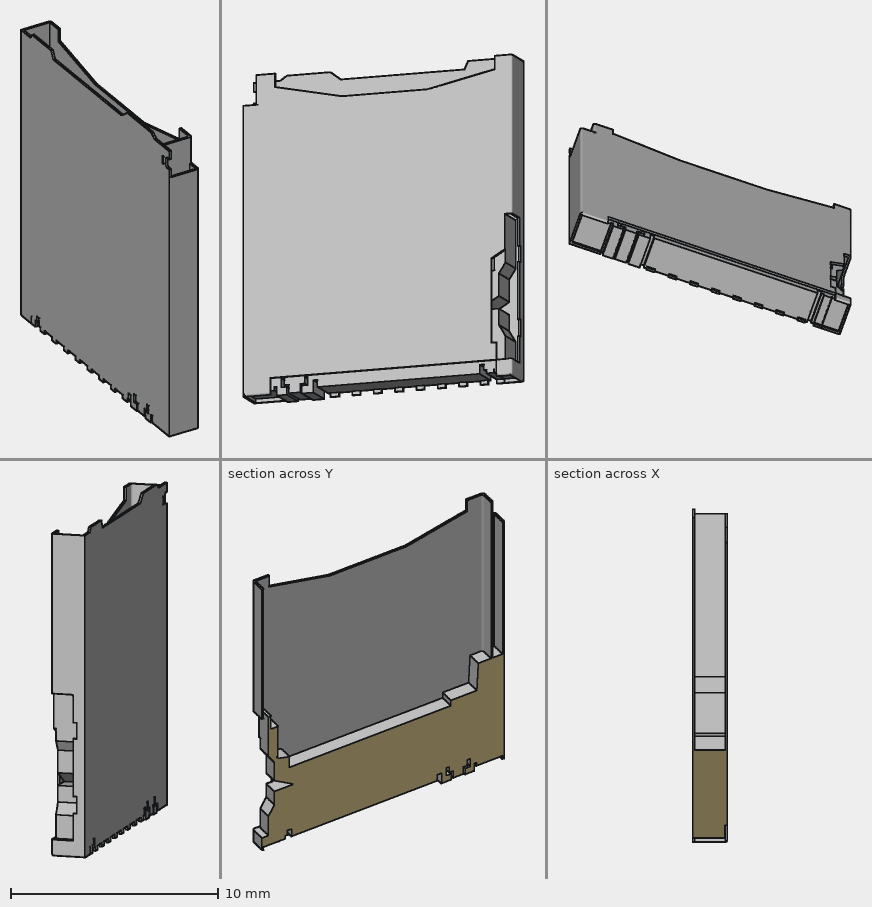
import cadquery as cq

WIDTH = 13.85
DEPTH = 1.68
HEIGHT = 16.15
SHEET = 0.11
BEND = 0.11
INNER_DEPTH = DEPTH - SHEET
CUT_Y = (-0.16, DEPTH + 0.16)
BELOW = -0.16

HEM_Z = 0.06
SHOULDER_Z = 15.92
DIP_Z = 15.75
LEFT_LOBE_FOOT_X = (0.89, 3.02)
LEFT_LOBE_TOP_X = (1.05, 2.83)
RIGHT_LOBE_FOOT_X = (9.38, 12.48)
RIGHT_LOBE_TOP_X = (9.92, 12.15)

EDGE_NOTCH_X = 13.52
EDGE_NOTCH_Z = (14.9, 15.47)
EDGE_NOTCH_RADIUS = 0.16
SLIT_X = (13.16, 13.3)
SLIT_Z = (14.95, 15.36)

GAP_COUNT = 7
GAP_PITCH = 1.1
GAP_WIDTH = 0.7
GAP_START_X = 2.2
GAP_TOP_Z = 0.26

LEFT_STEPS = (((1.35, 1.81), GAP_TOP_Z), ((1.35, 1.7), 0.44), ((1.49, 1.7), 0.71))
RIGHT_STEPS = (((9.92, 10.25), GAP_TOP_Z), ((10.05, 10.25), 0.61))
RELIEF_TOP_Z = 0.44
RELIEF_SLIT_X = (0.95, 0.97)

LATCH_X = 11.22
LATCH_LEFT_X = 10.25
LATCH_RIGHT_X = 12.15
LATCH_RELIEF_WIDTH = 0.11
TAB_X = 10.84
TAB_TOP_Z = 0.39
TONGUE_X = 10.93
TONGUE_STEP_Z = 0.48
HOOK_X = (10.55, 10.7)
HOOK_TOP_Z = 0.82

FOOT_LEFT_X = 0.8
FOOT_RIGHT_X = 12.44
CHANNEL_X = 13.08
CHANNEL_OUTER_X = CHANNEL_X + SHEET
RIGHT_WALL_Z = 14.45
MOUTH_Z = 14.54
MOUTH_SHOULDER_Z = 15.26
MOUTH_X = 0.89
MOUTH_FLAT_X = 4.35

WINDOW_BOTTOM_Z = 0.87
WINDOW_TOP_Z = 8.06
WINDOW_Y = 0.58
WINDOW_RADIUS = 0.08
NOTCH_Y = 0.4
NOTCHES_Z = ((2.21, 3.05), (5.9, 6.69))
BACK_EDGE_X = 1.07
BACK_EDGE_STEP_Z = 1.73
BACK_EDGE_SLOPE_Z = (5.9, 6.3)

FACE_X = 0.37
WAIST_X = 0.71
POCKET_X = 1.78
WAIST_TOP_Z = 5.15
WAIST_TOP_SLOPE_Z = 5.67
POCKET_TOP_Z = 4.04
POCKET_FLOOR_Z = 3.4
WAIST_BOTTOM_Z = 2.6
WAIST_BOTTOM_SLOPE_Z = 2.03

RAIL_LIP_X = 0.53
RAIL_STEP_X = 0.94
RAIL_STEP_Z = 7.27
RAMP_Z = (5.17, 5.33)
FLOOR_X = (1.58, 10.79)
FLOOR_Z = 4.52
RIGHT_LEDGE_Z = 4.85
RIGHT_RAIL_FOOT_X = 12.27
RIGHT_RAIL_TOP_X = 12.35
RIGHT_RAIL_Z = 6.46


def block(x_range, y_range, z_range):
    """Axis-aligned box given by its limits."""
    size = [high - low for low, high in (x_range, y_range, z_range)]
    corner = (x_range[0], y_range[0], z_range[0])
    return cq.Workplane("XY").box(*size, centered=False).translate(corner)


def plate(points, y_range):
    """Prism over an XZ outline, filling the given Y range."""
    y_low, y_high = y_range
    return cq.Workplane("XZ", origin=(0, y_low, 0)).polyline(points).close().extrude(y_low - y_high)


def bottom_cut(x_range, top_z):
    """Cutter that opens the bottom edge up to the given height."""
    return block(x_range, CUT_Y, (BELOW, top_z))


def latch_openings():
    """Two mirrored L-shaped slots, and the trim that ends the tongue level with the hem."""
    points = [
        (TAB_X, BELOW), (TONGUE_X, BELOW), (TONGUE_X, TONGUE_STEP_Z), (HOOK_X[1], TONGUE_STEP_Z),
        (HOOK_X[1], HOOK_TOP_Z), (HOOK_X[0], HOOK_TOP_Z), (HOOK_X[0], TAB_TOP_Z), (TAB_X, TAB_TOP_Z),
    ]
    slot = plate(points, CUT_Y)
    tongue_trim = bottom_cut((TONGUE_X, 2 * LATCH_X - TONGUE_X), HEM_Z)
    return slot.union(slot.mirror("YZ", (LATCH_X, 0, 0))).union(tongue_trim)


def bottom_openings():
    """All cut-outs along the bottom edge, running through the cover and the frame."""
    openings = latch_openings()
    for i in range(GAP_COUNT):
        left = GAP_START_X + i * GAP_PITCH
        openings = openings.union(bottom_cut((left, left + GAP_WIDTH), GAP_TOP_Z))
    for x_range, top_z in LEFT_STEPS + RIGHT_STEPS:
        openings = openings.union(bottom_cut(x_range, top_z))
    latch_relief_x = (LATCH_RIGHT_X, LATCH_RIGHT_X + LATCH_RELIEF_WIDTH)
    for x_range in (RELIEF_SLIT_X, latch_relief_x):
        openings = openings.union(bottom_cut(x_range, RELIEF_TOP_Z))
    return openings


def front_cover():
    outline = [
        (0, HEM_Z), (LATCH_LEFT_X, HEM_Z), (LATCH_LEFT_X, 0),
        (LATCH_RIGHT_X, 0), (LATCH_RIGHT_X, HEM_Z), (WIDTH, HEM_Z),
        (WIDTH, SHOULDER_Z), (RIGHT_LOBE_FOOT_X[1], SHOULDER_Z),
        (RIGHT_LOBE_TOP_X[1], HEIGHT), (RIGHT_LOBE_TOP_X[0], HEIGHT),
        (RIGHT_LOBE_FOOT_X[0], DIP_Z), (LEFT_LOBE_FOOT_X[1], DIP_Z),
        (LEFT_LOBE_TOP_X[1], HEIGHT), (LEFT_LOBE_TOP_X[0], HEIGHT),
        (LEFT_LOBE_FOOT_X[0], SHOULDER_Z), (0, SHOULDER_Z),
    ]
    cover = plate(outline, (0, SHEET))
    cover = cover.edges("|Y").edges("<X").edges("<Z").fillet(BEND)
    edge_notch = block((EDGE_NOTCH_X, WIDTH + 0.16), CUT_Y, EDGE_NOTCH_Z)
    edge_notch = edge_notch.edges("|Y and <X").fillet(EDGE_NOTCH_RADIUS)
    return cover.cut(edge_notch).cut(block(SLIT_X, CUT_Y, SLIT_Z))


def side_walls():
    left = block((0, SHEET), (0, DEPTH), (HEM_Z, SHOULDER_Z))
    right = block((WIDTH - SHEET, WIDTH), (0, DEPTH), (HEM_Z, RIGHT_WALL_Z))
    channel = block((CHANNEL_X, CHANNEL_OUTER_X), (0, DEPTH), (WINDOW_BOTTOM_Z, SHOULDER_Z))
    return left.union(right).union(channel)


def back_cover():
    """Back sheet with two feet at the bottom and the card mouth at the top."""
    mouth_right_x = CHANNEL_X - MOUTH_X
    outline = [
        (0, HEM_Z), (FOOT_LEFT_X, HEM_Z), (FOOT_LEFT_X, WINDOW_BOTTOM_Z),
        (FOOT_RIGHT_X, WINDOW_BOTTOM_Z), (FOOT_RIGHT_X, HEM_Z), (WIDTH, HEM_Z),
        (WIDTH, RIGHT_WALL_Z), (CHANNEL_OUTER_X, RIGHT_WALL_Z), (CHANNEL_OUTER_X, SHOULDER_Z),
        (mouth_right_x, SHOULDER_Z), (mouth_right_x, MOUTH_SHOULDER_Z),
        (CHANNEL_X - MOUTH_FLAT_X, MOUTH_Z), (MOUTH_FLAT_X, MOUTH_Z),
        (MOUTH_X, MOUTH_SHOULDER_Z), (MOUTH_X, SHOULDER_Z), (0, SHOULDER_Z),
    ]
    return plate(outline, (INNER_DEPTH, DEPTH))


def bend_envelope():
    """Outer volume with rounded bends that trims the walls and the back cover."""
    lower = block((0, WIDTH), (0, DEPTH), (HEM_Z, RIGHT_WALL_Z))
    lower = lower.edges("(|Z and >Y) or (|Y and <X and <Z) or (|X and >Y and <Z)").fillet(BEND)
    upper = block((0, CHANNEL_OUTER_X), (0, DEPTH), (RIGHT_WALL_Z, SHOULDER_Z))
    return lower.union(upper.edges("|Z and >Y").fillet(BEND))


def window():
    """Window through the left wall, open toward the back and stepping into the back cover."""
    outside = -0.16
    wall_cut = block((outside, SHEET), (WINDOW_Y, DEPTH + 0.16), (WINDOW_BOTTOM_Z, WINDOW_TOP_Z))
    wall_cut = wall_cut.edges("|X and <Y and >Z").fillet(WINDOW_RADIUS)
    for z_range in NOTCHES_Z:
        wall_cut = wall_cut.union(block((outside, SHEET), (NOTCH_Y, WINDOW_Y), z_range))
    slope_low, slope_high = BACK_EDGE_SLOPE_Z
    back_edge = [
        (outside, WINDOW_BOTTOM_Z), (FOOT_LEFT_X, WINDOW_BOTTOM_Z), (FOOT_LEFT_X, BACK_EDGE_STEP_Z),
        (BACK_EDGE_X, BACK_EDGE_STEP_Z), (BACK_EDGE_X, slope_low), (FACE_X, slope_high),
        (FACE_X, WINDOW_TOP_Z), (outside, WINDOW_TOP_Z),
    ]
    return wall_cut.union(plate(back_edge, (INNER_DEPTH, DEPTH + 0.16)))


def frame():
    """Plastic frame: a left rail with a waisted outer face, a floor and a right rail."""
    left = SHEET
    right = WIDTH - SHEET
    outline = [
        (left, GAP_TOP_Z), (LATCH_LEFT_X, GAP_TOP_Z), (LATCH_LEFT_X, 0),
        (LATCH_RIGHT_X, 0), (LATCH_RIGHT_X, GAP_TOP_Z), (right, GAP_TOP_Z),
        (right, RIGHT_RAIL_Z), (RIGHT_RAIL_TOP_X, RIGHT_RAIL_Z), (RIGHT_RAIL_FOOT_X, RIGHT_LEDGE_Z),
        (FLOOR_X[1], RIGHT_LEDGE_Z), (FLOOR_X[1], FLOOR_Z), (FLOOR_X[0], FLOOR_Z),
        (FLOOR_X[0], RAMP_Z[0]), (RAIL_STEP_X, RAMP_Z[1]), (RAIL_STEP_X, RAIL_STEP_Z),
        (RAIL_LIP_X, RAIL_STEP_Z), (RAIL_LIP_X, WINDOW_TOP_Z),
        (FACE_X, WINDOW_TOP_Z), (FACE_X, WAIST_TOP_SLOPE_Z), (WAIST_X, WAIST_TOP_Z),
        (WAIST_X, POCKET_TOP_Z), (POCKET_X, POCKET_FLOOR_Z), (WAIST_X, POCKET_FLOOR_Z),
        (WAIST_X, WAIST_BOTTOM_Z), (FACE_X, WAIST_BOTTOM_SLOPE_Z), (FACE_X, WINDOW_BOTTOM_Z),
        (left, WINDOW_BOTTOM_Z),
    ]
    return plate(outline, (SHEET, INNER_DEPTH))


def channel_corner():
    """Inside bend radius between the back cover and the inner right wall."""
    return (
        cq.Workplane("XY", origin=(0, 0, WINDOW_BOTTOM_Z))
        .moveTo(CHANNEL_X, INNER_DEPTH)
        .lineTo(CHANNEL_X, INNER_DEPTH - BEND)
        .radiusArc((CHANNEL_X - BEND, INNER_DEPTH), -BEND)
        .close()
        .extrude(SHOULDER_Z - WINDOW_BOTTOM_Z)
    )


walls = side_walls().union(back_cover()).intersect(bend_envelope()).cut(window())
cover_and_frame = front_cover().union(frame()).cut(bottom_openings())
result = cover_and_frame.union(walls).union(channel_corner())